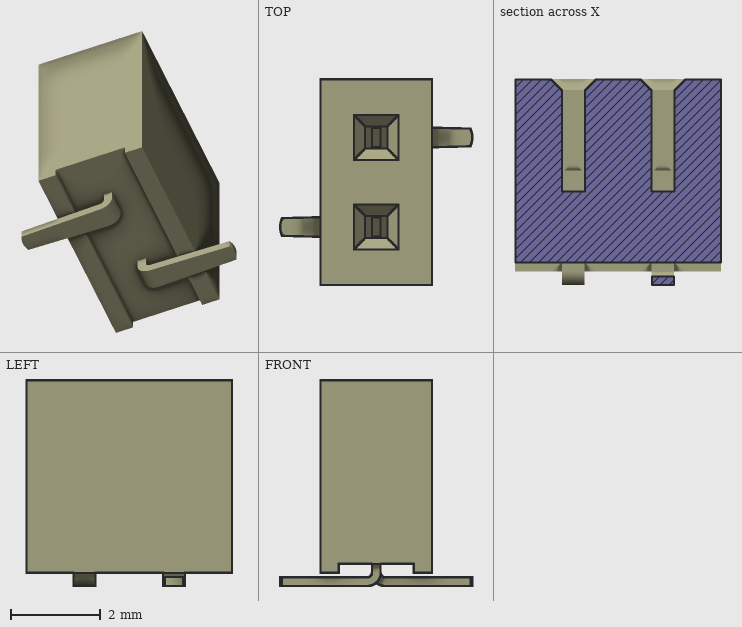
import cadquery as cq
import math

PITCH = 2.0
HOUSING_WIDTH = 2.5
HOUSING_LENGTH = 4.6
HOUSING_TOP = 4.6
HOUSING_BOTTOM = 0.3
FOOT_WIDTH = HOUSING_WIDTH / 6
GROOVE_DEPTH = 0.2

SOCKET_SIZE = 0.5
FUNNEL_SIZE = 1.0
FUNNEL_DEPTH = 0.25
SOCKET_DEPTH = 2.5
SOCKET_FLOOR = HOUSING_TOP - SOCKET_DEPTH

CONTACT_THICKNESS = 0.2
CONTACT_WIDTH = SOCKET_SIZE
TAIL_END_WIDTH = 0.4
TAIL_REACH = 2.15
TAIL_END_BULGE = 0.05
BEND_INNER_RADIUS = 0.1
BEND_OUTER_RADIUS = BEND_INNER_RADIUS + CONTACT_THICKNESS
TIP_HEIGHT = 0.5
TROUGH_DEPTH = 0.04
CONTACT_TOP = SOCKET_FLOOR + TIP_HEIGHT


def make_housing():
    """Block with a groove along Y that leaves a foot under each long side."""
    block = cq.Workplane("XY").workplane(offset=HOUSING_BOTTOM).rect(HOUSING_WIDTH, HOUSING_LENGTH)
    block = block.extrude(HOUSING_TOP - HOUSING_BOTTOM)
    groove = cq.Workplane("XY").workplane(offset=HOUSING_BOTTOM)
    groove = groove.rect(HOUSING_WIDTH - 2 * FOOT_WIDTH, HOUSING_LENGTH).extrude(GROOVE_DEPTH)
    return block.cut(groove)


def make_socket(y):
    """Square hole with its funnel, as a solid to cut away."""
    hole = cq.Workplane("XY").workplane(offset=SOCKET_FLOOR).center(0, y)
    hole = hole.rect(SOCKET_SIZE, SOCKET_SIZE).extrude(SOCKET_DEPTH)
    funnel = cq.Workplane("XY").workplane(offset=HOUSING_TOP - FUNNEL_DEPTH).center(0, y)
    funnel = funnel.rect(SOCKET_SIZE, SOCKET_SIZE).workplane(offset=FUNNEL_DEPTH)
    funnel = funnel.rect(FUNNEL_SIZE, FUNNEL_SIZE).loft(ruled=True)
    return hole.union(funnel)


def make_tip_trough():
    """Shallow trough across the top of a contact, its two ends sloping inwards at 45 degrees."""
    half_width = CONTACT_WIDTH / 2
    half_floor = half_width - TROUGH_DEPTH
    trough = cq.Workplane("YZ").moveTo(-half_width, CONTACT_TOP).lineTo(half_width, CONTACT_TOP)
    trough = trough.lineTo(half_floor, CONTACT_TOP - TROUGH_DEPTH)
    trough = trough.lineTo(-half_floor, CONTACT_TOP - TROUGH_DEPTH).close()
    return trough.extrude(CONTACT_THICKNESS / 2, both=True)


def make_contact(y, side):
    """Upright strip bent into a flat tail that points along +X (side = 1) or -X (side = -1)."""
    half_thickness = CONTACT_THICKNESS / 2
    bend_x = half_thickness + BEND_INNER_RADIUS
    bend_z = BEND_OUTER_RADIUS
    diagonal = math.sqrt(0.5)
    inner_mid = BEND_INNER_RADIUS * diagonal
    outer_mid = BEND_OUTER_RADIUS * diagonal

    strip = (
        cq.Workplane("XZ")
        .moveTo(-side * half_thickness, CONTACT_TOP)
        .lineTo(-side * half_thickness, bend_z)
        .threePointArc((side * (bend_x - outer_mid), bend_z - outer_mid), (side * bend_x, 0))
        .lineTo(side * TAIL_REACH, 0)
        .lineTo(side * TAIL_REACH, CONTACT_THICKNESS)
        .lineTo(side * bend_x, CONTACT_THICKNESS)
        .threePointArc((side * (bend_x - inner_mid), bend_z - inner_mid), (side * half_thickness, bend_z))
        .lineTo(side * half_thickness, CONTACT_TOP)
        .close()
        .extrude(CONTACT_WIDTH / 2, both=True)
    )
    strip = strip.cut(make_tip_trough())

    half_width = CONTACT_WIDTH / 2
    half_end = TAIL_END_WIDTH / 2
    taper_end = TAIL_REACH - TAIL_END_BULGE
    outline = (
        cq.Workplane("XY")
        .moveTo(-side * half_thickness, -half_width)
        .lineTo(side * bend_x, -half_width)
        .lineTo(side * taper_end, -half_end)
        .threePointArc((side * TAIL_REACH, 0), (side * taper_end, half_end))
        .lineTo(side * bend_x, half_width)
        .lineTo(-side * half_thickness, half_width)
        .close()
        .extrude(CONTACT_TOP)
    )
    return strip.intersect(outline).translate((0, y, 0))


result = make_housing()
for tail_side in (-1, 1):
    position_y = tail_side * PITCH / 2
    result = result.cut(make_socket(position_y))
    result = result.union(make_contact(position_y, tail_side))